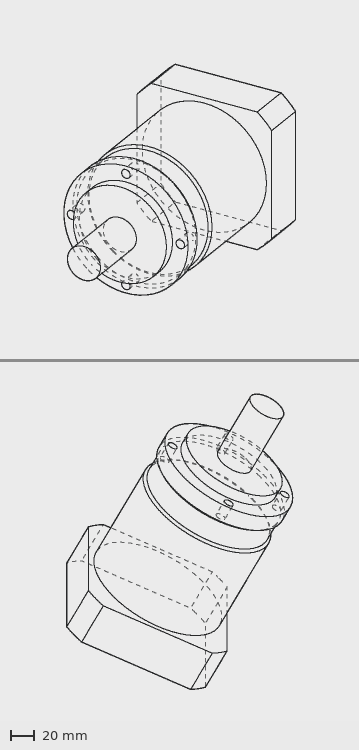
import cadquery as cq

total_length = 240.5

flange_side = 130.0
flange_length = 40.0
flange_corner_diameter = 165.5

housing_diameter = 120.0
groove_diameter = 115.0
groove_start = 130.5
groove_width = 24.8
groove_bevel = 2.2

pilot_diameter = 90.0
pilot_length = 10.0
shaft_diameter = 32.0
shaft_length = 60.0
housing_end = total_length - shaft_length - pilot_length

hole_count = 4
hole_diameter = 8.2
hole_circle_diameter = 105.0
hole_depth = housing_end - groove_start - groove_width


def output_plane(distance):
    """Plane facing the output end, at a distance from the back face."""
    return cq.Workplane("XZ", origin=(0, -distance, 0))


def make_flange():
    square = output_plane(0).rect(flange_side, flange_side).extrude(flange_length)
    turned_disc = output_plane(0).circle(flange_corner_diameter / 2).extrude(flange_length)
    return square.intersect(turned_disc)


def make_turned_body():
    """Housing, pilot and shaft as one revolved profile (radius, Y)."""
    housing_radius = housing_diameter / 2
    groove_radius = groove_diameter / 2
    pilot_radius = pilot_diameter / 2
    shaft_radius = shaft_diameter / 2
    groove_end = groove_start + groove_width
    pilot_end = housing_end + pilot_length
    profile = [
        (0, 0),
        (housing_radius, 0),
        (housing_radius, -groove_start),
        (groove_radius, -groove_start - groove_bevel),
        (groove_radius, -groove_end + groove_bevel),
        (housing_radius, -groove_end),
        (housing_radius, -housing_end),
        (pilot_radius, -housing_end),
        (pilot_radius, -pilot_end),
        (shaft_radius, -pilot_end),
        (shaft_radius, -total_length),
        (0, -total_length),
    ]
    return cq.Workplane("XY").polyline(profile).close().revolve(360, (0, 0, 0), (0, 1, 0))


def make_mounting_holes():
    return (
        output_plane(housing_end)
        .polarArray(hole_circle_diameter / 2, 0, 360, hole_count)
        .circle(hole_diameter / 2)
        .extrude(-hole_depth)
    )


result = make_flange().union(make_turned_body()).cut(make_mounting_holes())